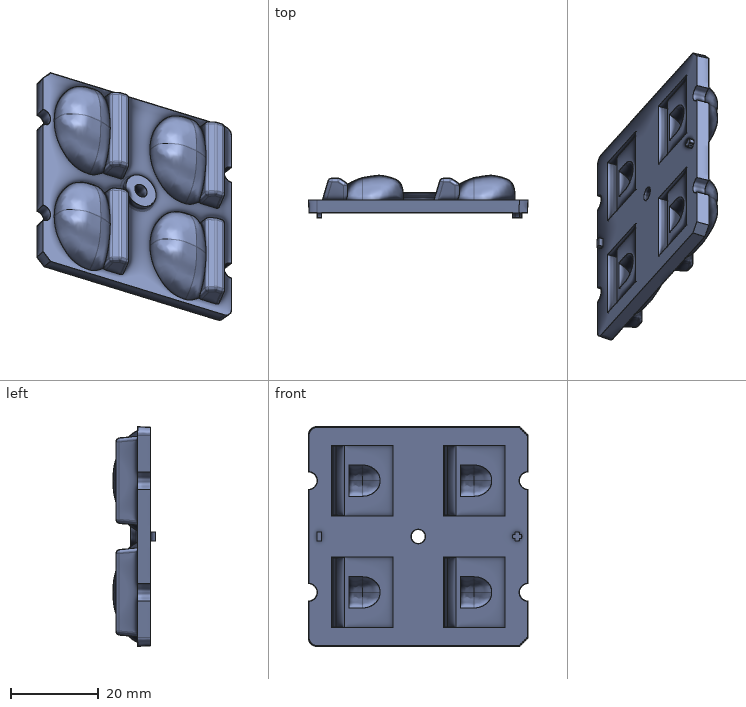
import cadquery as cq
import math


SIDE = 50.0
PLATE_THICKNESS = 3.0
CORNER = 2.0
EDGE_DRAFT = 3.0
NOTCH_RADIUS = 2.0

PITCH = 25.4
STATIONS = (-PITCH / 2, PITCH / 2)

HOLE_RADIUS = 1.6
COLLAR_RADIUS = 4.0
COLLAR_HEIGHT = 1.6
COLLAR_FILLET = 0.5

MARK_OFFSET = 22.5
MARK_LENGTH = 2.1
MARK_WIDTH = 1.0
MARK_HEIGHT = 1.1

POCKET_WIDTH = 14.0
POCKET_LENGTH = 16.0
POCKET_DEPTH = 0.85

HOUSING_TOP = 7.9
HOUSING_BASE_LEFT = -9.1
HOUSING_TOP_LEFT = -7.65
HOUSING_BEVEL_START = -5.25
HOUSING_RIGHT = -3.35
HOUSING_BEVEL_END = 6.65
HOUSING_LENGTH = 20.2
HOUSING_END_DRAFT = 5.0
HOUSING_FILLET = 0.95

GROOVE_TOP = 5.4
GROOVE_LEFT = -6.7
GROOVE_TOP_RIGHT = -6.05
GROOVE_SHOULDER = (-4.7, 2.9)
GROOVE_RIGHT = -4.1
GROOVE_END_DRAFT = 2.0

LENS_LEFT = (-4.0, 6.15)
LENS_LEFT_SHOULDER = (-2.15, 7.2)
LENS_MIDDLE = (0, 8.05)
LENS_PEAK = (4.35, 8.55)
LENS_SHOULDER = (7.5, 7.45)
LENS_RIGHT = 9.35
LENS_HALF_LENGTH = 11.4
LENS_LEFT_HALF_LENGTH = 9.75

CAVITY_LEFT = (-3.1, 3.95)
CAVITY_LEFT_SHOULDER = (-1.55, 3.95)
CAVITY_MIDDLE = (0, 3.75)
CAVITY_SHOULDER = (2.2, 2.55)
CAVITY_RIGHT = 4.0
CAVITY_HALF_LENGTH = 3.55

LENS_SHOULDER_RISE = 0.61
CAVITY_SHOULDER_RISE = 0.56
SHOULDER_REACH = 0.76
RIM_LEAN = 0.5

ALONG_X = (1, 0, 0)
ALONG_Z = (0, 0, 1)


def plane_at(height):
    """Workplane facing +Y at the given height; its local y runs along -Z."""
    return cq.Workplane(cq.Plane(origin=(0, height, 0), xDir=(1, 0, 0), normal=(0, 1, 0)))


def at_stations(body):
    """Copies of a body at the four lens stations."""
    return [body.translate((x, 0, z)) for x in STATIONS for z in STATIONS]


def make_plate():
    outline = (
        cq.Sketch()
        .rect(SIDE, SIDE)
        .vertices("<X")
        .fillet(CORNER)
        .reset()
        .vertices(">X")
        .chamfer(CORNER)
    )
    plate = (
        cq.Workplane("XZ", origin=(0, PLATE_THICKNESS, 0))
        .placeSketch(outline)
        .extrude(PLATE_THICKNESS, taper=EDGE_DRAFT)
    )
    notches = (
        plane_at(0)
        .pushPoints([(x, z) for x in (-SIDE / 2, SIDE / 2) for z in STATIONS])
        .circle(NOTCH_RADIUS)
        .extrude(PLATE_THICKNESS)
    )
    return plate.cut(notches)


def make_collar():
    top = PLATE_THICKNESS + COLLAR_HEIGHT
    foot = COLLAR_RADIUS + COLLAR_FILLET
    return (
        cq.Workplane("XY")
        .moveTo(0, PLATE_THICKNESS)
        .lineTo(foot, PLATE_THICKNESS)
        .radiusArc((COLLAR_RADIUS, PLATE_THICKNESS + COLLAR_FILLET), COLLAR_FILLET)
        .lineTo(COLLAR_RADIUS, top)
        .lineTo(0, top)
        .close()
        .revolve(360, (0, 0, 0), (0, 1, 0))
    )


def make_marks():
    """A minus on the -X side and a plus with rounded arm ends on the +X side."""
    minus = cq.Workplane("XZ").center(-MARK_OFFSET, 0)
    minus = minus.rect(MARK_WIDTH, MARK_LENGTH).extrude(MARK_HEIGHT)
    plus = cq.Workplane("XZ").center(MARK_OFFSET, 0)
    arms = plus.rect(MARK_WIDTH, MARK_LENGTH).extrude(MARK_HEIGHT)
    arms = arms.union(plus.rect(MARK_LENGTH, MARK_WIDTH).extrude(MARK_HEIGHT))
    disc = plus.circle(MARK_LENGTH / 2).extrude(MARK_HEIGHT)
    return minus.union(arms.intersect(disc))


def drafted_block(base, height, length, draft):
    """Block with drafted ends, wide enough in X to hold any housing or groove profile."""
    width = 2 * POCKET_WIDTH
    return plane_at(base).rect(width, length).extrude(height, taper=draft)


def make_housing():
    profile = (
        cq.Workplane("XY")
        .moveTo(HOUSING_BASE_LEFT, PLATE_THICKNESS)
        .lineTo(HOUSING_TOP_LEFT, HOUSING_TOP)
        .lineTo(HOUSING_BEVEL_START, HOUSING_TOP)
        .lineTo(HOUSING_RIGHT, HOUSING_BEVEL_END)
        .lineTo(HOUSING_RIGHT, PLATE_THICKNESS)
        .close()
        .extrude(HOUSING_LENGTH / 2, both=True)
    )
    height = HOUSING_TOP - PLATE_THICKNESS
    block = drafted_block(PLATE_THICKNESS, height, HOUSING_LENGTH, HOUSING_END_DRAFT)
    housing = profile.intersect(block)
    return housing.edges("not <Y").fillet(HOUSING_FILLET)


def make_groove():
    pocket_left = -POCKET_WIDTH / 2
    profile = (
        cq.Workplane("XY")
        .moveTo(pocket_left, POCKET_DEPTH)
        .lineTo(GROOVE_LEFT, GROOVE_TOP)
        .lineTo(GROOVE_TOP_RIGHT, GROOVE_TOP)
        .threePointArc(GROOVE_SHOULDER, (GROOVE_RIGHT, POCKET_DEPTH))
        .close()
        .extrude(POCKET_LENGTH / 2, both=True)
    )
    height = GROOVE_TOP - POCKET_DEPTH
    return profile.intersect(drafted_block(POCKET_DEPTH, height, POCKET_LENGTH, GROOVE_END_DRAFT))


def spline(*points, start=None, end=None):
    """Spline through points, with tangents at both ends if they are given."""
    tangents = [cq.Vector(start), cq.Vector(end)] if start else None
    return cq.Edge.makeSpline([cq.Vector(*point) for point in points], tangents=tangents)


def section_shoulder(crest, base, half_length, shoulder_rise):
    """Point between crest and rim of the cross-section at the crest's x."""
    x, top = crest
    return x, base + shoulder_rise * (top - base), SHOULDER_REACH * half_length


def cross_section(crest, base, half_length, shoulder_rise):
    """Quarter section across a dome, level at its crest and steep at its rim."""
    x, top = crest
    shoulder = section_shoulder(crest, base, half_length, shoulder_rise)
    rim = (x, base, half_length)
    return spline((x, top, 0), shoulder, rim, start=ALONG_Z, end=(0, -1, RIM_LEAN))


def make_dome(
    left, left_shoulder, middle, crests, right, base, left_half_length, half_length, shoulder_rise, crest_end
):
    """Solid dome on the plane y = base, symmetric about z = 0 and cut off flat at its left end.

    The crest runs along X through left, left_shoulder, middle and the crests, and meets the base at
    x = right, heading along crest_end. The rim bulges from left_half_length to half_length at x = 0,
    then closes as an ellipse.
    """
    left_x = left[0]
    left_section = cross_section(left, base, left_half_length, shoulder_rise)
    middle_section = cross_section(middle, base, half_length, shoulder_rise)

    left_crest = spline((*left, 0), (*left_shoulder, 0), (*middle, 0))
    middle_slope = (crests[0][0], crests[0][1] - middle[1], 0)
    right_crest = spline(
        (*middle, 0),
        *[(*crest, 0) for crest in crests],
        (right, base, 0),
        start=middle_slope,
        end=crest_end,
    )

    left_rim = spline(
        (left_x, base, left_half_length),
        (0, base, half_length),
        start=(-left_x, 0, half_length - left_half_length),
        end=ALONG_X,
    )
    rim_x = right * math.cos(math.pi / 4)
    rim_z = half_length * math.sin(math.pi / 4)
    right_rim = spline(
        (0, base, half_length),
        (rim_x, base, rim_z),
        (right, base, 0),
        start=ALONG_X,
        end=(0, 0, -1),
    )

    inner_points = []
    for crest in crests[:-1]:
        rim_at_crest = half_length * math.sqrt(1 - (crest[0] / right) ** 2)
        inner_points.append(cq.Vector(*section_shoulder(crest, base, rim_at_crest, shoulder_rise)))

    quarters = [
        cq.Face.makeNSidedSurface([left_section, left_rim, middle_section, left_crest], []),
        cq.Face.makeNSidedSurface([middle_section, right_rim, right_crest], inner_points),
    ]
    faces = quarters + [face.mirror("XY") for face in quarters]

    rims = [left_rim, right_rim]
    left_corner = cq.Vector(left_x, base, left_half_length)
    left_foot = cq.Edge.makeLine(left_corner, cq.Vector(left_x, base, -left_half_length))
    floor = rims + [rim.mirror("XY") for rim in rims] + [left_foot]
    left_end = [left_section, left_section.mirror("XY"), left_foot]
    for edges in (floor, left_end):
        faces.append(cq.Face.makeFromWires(cq.Wire.assembleEdges(edges)))
    return cq.Workplane(cq.Solid.makeSolid(cq.Shell.makeShell(faces)))


def make_lens():
    return make_dome(
        left=LENS_LEFT,
        left_shoulder=LENS_LEFT_SHOULDER,
        middle=LENS_MIDDLE,
        crests=[LENS_PEAK, LENS_SHOULDER],
        right=LENS_RIGHT,
        base=PLATE_THICKNESS,
        left_half_length=LENS_LEFT_HALF_LENGTH,
        half_length=LENS_HALF_LENGTH,
        shoulder_rise=LENS_SHOULDER_RISE,
        crest_end=(0, -1, 0),
    )


def make_cavity():
    return make_dome(
        left=CAVITY_LEFT,
        left_shoulder=CAVITY_LEFT_SHOULDER,
        middle=CAVITY_MIDDLE,
        crests=[CAVITY_SHOULDER],
        right=CAVITY_RIGHT,
        base=POCKET_DEPTH,
        left_half_length=CAVITY_HALF_LENGTH,
        half_length=CAVITY_HALF_LENGTH,
        shoulder_rise=CAVITY_SHOULDER_RISE,
        crest_end=(1, -1, 0),
    )


def make_pocket():
    return plane_at(0).rect(POCKET_WIDTH, POCKET_LENGTH).extrude(POCKET_DEPTH)


result = make_plate().union(make_collar()).union(make_marks())
for raised in (make_lens(), make_housing()):
    for copy in at_stations(raised):
        result = result.union(copy)
for hollow in (make_pocket(), make_groove(), make_cavity()):
    for copy in at_stations(hollow):
        result = result.cut(copy)
hole = plane_at(0).circle(HOLE_RADIUS).extrude(PLATE_THICKNESS + COLLAR_HEIGHT)
result = result.cut(hole)